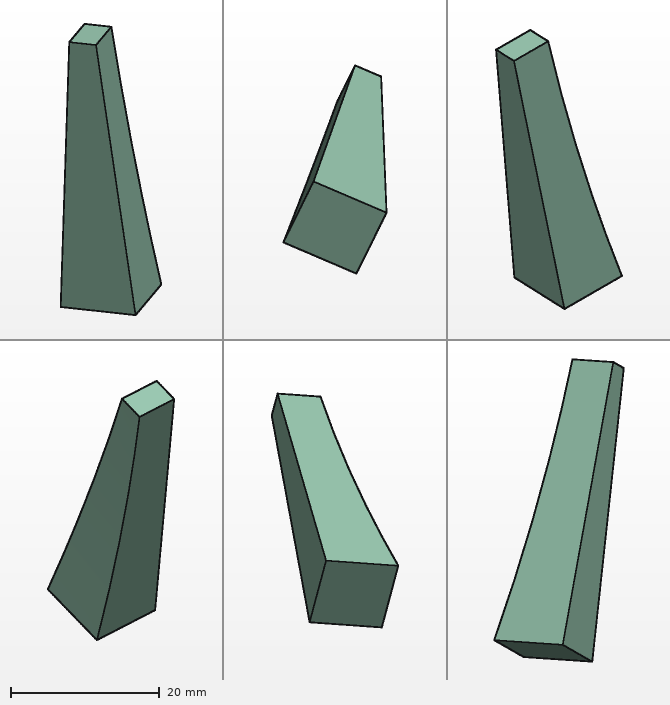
import cadquery as cq
import math

length = 39.8
base_depth = 10.05
tip_depth = 6.0
base_width = 10.8
tip_width = 3.85
back_hollow = 0.72
tilt = 8.6


def side_profile():
    """YZ outline: straight front, flat ends and a hollow arc at the back."""
    chord_y = tip_depth - base_depth
    chord = math.hypot(chord_y, length)
    arc_middle = (
        (base_depth + tip_depth) / 2 - back_hollow * length / chord,
        length / 2 + back_hollow * chord_y / chord,
    )
    return (
        cq.Workplane("YZ")
        .lineTo(base_depth, 0)
        .threePointArc(arc_middle, (tip_depth, length))
        .lineTo(0, length)
        .close()
        .extrude(base_width / 2, both=True)
    )


def width_taper():
    """XZ trapezoid that narrows the part evenly from base to tip."""
    return (
        cq.Workplane("XZ")
        .polyline([
            (-base_width / 2, 0),
            (base_width / 2, 0),
            (tip_width / 2, length),
            (-tip_width / 2, length),
        ])
        .close()
        .extrude(-base_depth)
    )


upright = side_profile().intersect(width_taper())

result = upright.rotate((0, 0, 0), (1, 0, 0), tilt)